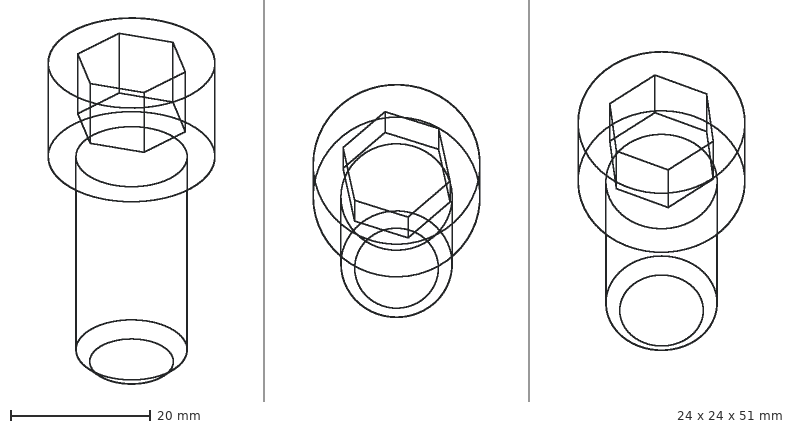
import cadquery as cq
import math

total_length = 51.0
head_diameter = 24.0
head_height = 16.0
shank_diameter = 16.0
shank_length = total_length - head_height
tip_chamfer = 2.0
socket_across_flats = 14.0
socket_across_corners = socket_across_flats / math.cos(math.radians(30))
socket_depth = 10.2


def make_shank():
    """Plain shank below the head, chamfered at its lower end."""
    shank = cq.Workplane("XY").circle(shank_diameter / 2).extrude(-shank_length)
    return shank.faces("<Z").chamfer(tip_chamfer)


def make_head():
    """Cylindrical head standing on the shank."""
    return cq.Workplane("XY").circle(head_diameter / 2).extrude(head_height)


def make_socket():
    """Hexagonal key socket cutter with two corners on the X axis."""
    return (
        cq.Workplane("XY", origin=(0, 0, head_height))
        .polygon(6, socket_across_corners)
        .extrude(-socket_depth)
    )


result = make_head().union(make_shank()).cut(make_socket())